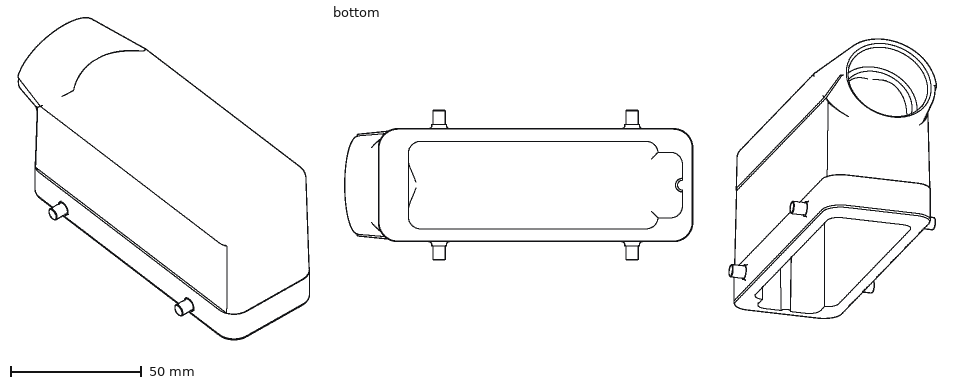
import cadquery as cq
import math

BASE_LENGTH = 120.2
BASE_WIDTH = 43.2
BASE_HEIGHT = 13.2
CORNER_RADIUS = 7.5
FOOT_CHAMFER_HEIGHT = 0.8
FOOT_CHAMFER_DEPTH = 0.3

END_LEDGE = 0.3
BODY_TOP = 62.5
BODY_DRAFT = 0.9
TOP_FILLET = 3.2

STEP_HEIGHT = 46.3
PANEL_DEPTH = 0.9

SPOUT_TILT = 15.0
SPOUT_TIP_X = -68.3
SPOUT_TIP_Z = 50.4
SPOUT_UPPER_RADIUS = 19.4
SPOUT_LOWER_RADIUS = 18.8
SPOUT_ROOT_DEPTH = 16.0
SPOUT_SIDE_ANGLE = 31.8
SPOUT_CROWN_ANGLE = 55.0
MITER_ANGLE = 46.5
SPOUT_UNDER_FILLET = 5.0
BLEND_REACH = 6.7
BLEND_BURY = 2.7
RIM_FILLET = 0.7

ENTRY_DIAMETER = 32.0
ENTRY_DEPTH = 14.4
BORE_DIAMETER = 28.0
BORE_LENGTH = 32.0
ENTRY_CHAMFER = 1.0

WALL = 4.0
ROOF = 3.7
CAVITY_START_X = -48.6
CAVITY_CORNER_RADIUS = 4.5
CAVITY_ROOF_FILLET = 2.9
PILLAR_LENGTH = 9.3
END_POCKET_HALF_WIDTH = 12.5
RIB_RADIUS_TOP = 2.7
RIB_RADIUS_BOTTOM = 1.9

PIN_SPACING = 73.7
PIN_HEIGHT = 6.4
PIN_DIAMETER = 4.8
PIN_TIP_CHAMFER = 0.3
PIN_SPAN = 57.2
COLLAR_DIAMETER = 5.7
COLLAR_FLARE = 1.0
COLLAR_LENGTH = 1.6

TILT = math.radians(SPOUT_TILT)
MITER = math.radians(MITER_ANGLE)
BODY_LENGTH = BASE_LENGTH - 2 * END_LEDGE
BODY_WIDTH = BASE_WIDTH

tip_plane = cq.Plane(
    origin=(SPOUT_TIP_X, 0, SPOUT_TIP_Z),
    xDir=(0, -1, 0),
    normal=(-math.cos(TILT), 0, math.sin(TILT)),
)
step_run = (SPOUT_TIP_Z - STEP_HEIGHT) / math.tan(TILT)
miter_plane = cq.Plane(
    origin=(SPOUT_TIP_X + step_run, 0, STEP_HEIGHT),
    xDir=(0, -1, 0),
    normal=(-math.sin(MITER), 0, math.cos(MITER)),
)


def body_half_width(height):
    """Half width of the drafted body at a given height."""
    rise = (height - BASE_HEIGHT) / (BODY_TOP - BASE_HEIGHT)
    return BODY_WIDTH / 2 - BODY_DRAFT * rise


def rounded_block(length, width, height, radius):
    block = cq.Workplane("XY").rect(length, width).extrude(height)
    return block.edges("|Z").fillet(radius)


def make_base():
    base = rounded_block(BASE_LENGTH, BASE_WIDTH, BASE_HEIGHT, CORNER_RADIUS)
    return base.faces("<Z").edges().chamfer(FOOT_CHAMFER_HEIGHT, FOOT_CHAMFER_DEPTH)


def make_body():
    rise = BODY_TOP - BASE_HEIGHT
    draft_angle = math.degrees(math.atan(BODY_DRAFT / rise))
    body = (
        cq.Workplane("XY", origin=(0, 0, BASE_HEIGHT))
        .rect(BODY_LENGTH, BODY_WIDTH)
        .extrude(rise, taper=draft_angle)
    )
    body = body.edges("not #Z").fillet(CORNER_RADIUS)
    body = body.faces(">Z").edges().fillet(TOP_FILLET)

    for side in (-1, 1):
        panel = (
            cq.Workplane("YZ", origin=(-BASE_LENGTH / 2, 0, 0))
            .moveTo(side * (body_half_width(BASE_HEIGHT) - PANEL_DEPTH), BASE_HEIGHT)
            .lineTo(side * (body_half_width(STEP_HEIGHT) - PANEL_DEPTH), STEP_HEIGHT)
            .lineTo(side * BASE_WIDTH, STEP_HEIGHT)
            .lineTo(side * BASE_WIDTH, BASE_HEIGHT)
            .close()
            .extrude(BASE_LENGTH)
        )
        body = body.cut(panel)

    corner_cut = cq.Workplane(miter_plane).rect(2 * BASE_WIDTH, 2 * BASE_LENGTH).extrude(BASE_LENGTH)
    return body.cut(corner_cut)


def circle_point(radius, degrees):
    angle = math.radians(degrees)
    return radius * math.cos(angle), radius * math.sin(angle)


def mirrored(point):
    return -point[0], point[1]


def round_rim(spout):
    """Round the outer edge of the spout's end face."""
    end_face = spout.faces(cq.selectors.DirectionMinMaxSelector(tip_plane.zDir, True))
    return end_face.edges("%CIRCLE").fillet(RIM_FILLET)


def make_upper_spout():
    """Blend from the upper half of the round rim to the body section on the miter plane."""
    radius = SPOUT_UPPER_RADIUS
    side, crown = SPOUT_SIDE_ANGLE, SPOUT_CROWN_ANGLE
    rim_side = circle_point(radius, side)
    rim_crown = circle_point(radius, crown)
    lower_mid = circle_point(radius, side / 2)
    upper_mid = circle_point(radius, (side + crown) / 2)
    rim = (
        cq.Workplane(tip_plane)
        .moveTo(-radius, 0)
        .lineTo(radius, 0)
        .threePointArc(lower_mid, rim_side)
        .threePointArc(upper_mid, rim_crown)
        .threePointArc((0, radius), mirrored(rim_crown))
        .threePointArc(mirrored(upper_mid), mirrored(rim_side))
        .threePointArc(mirrored(lower_mid), (-radius, 0))
        .wire()
    )

    def section_point(half_width, height):
        return half_width, (height - STEP_HEIGHT) / math.sin(MITER)

    shoulder = BODY_TOP - TOP_FILLET
    step_side = section_point(body_half_width(STEP_HEIGHT), STEP_HEIGHT)
    shoulder_side = section_point(body_half_width(shoulder), shoulder)
    roof_side = section_point(body_half_width(BODY_TOP) - TOP_FILLET, BODY_TOP)
    arc_share = TOP_FILLET * math.sqrt(0.5)
    arc_mid = section_point(body_half_width(BODY_TOP) - TOP_FILLET + arc_share, shoulder + arc_share)
    section = (
        cq.Workplane(miter_plane)
        .moveTo(*mirrored(step_side))
        .lineTo(*step_side)
        .lineTo(*shoulder_side)
        .threePointArc(arc_mid, roof_side)
        .lineTo(*mirrored(roof_side))
        .threePointArc(mirrored(arc_mid), mirrored(shoulder_side))
        .close()
        .wire()
    )
    return round_rim(cq.Workplane(cq.Solid.makeLoft([rim.val(), section.val()], True)))


def make_crown_blend():
    """Lens-shaped, gently arched facet easing the bend between the spout crown and the flat roof."""
    half_width = body_half_width(BODY_TOP) - TOP_FILLET
    bend_x = miter_plane.origin.x + (BODY_TOP - STEP_HEIGHT) / math.tan(MITER)
    slope = TILT / 2
    lens = (
        cq.Workplane("XY", origin=(bend_x, 0, BODY_TOP - BLEND_BURY))
        .moveTo(0, half_width)
        .threePointArc((BLEND_REACH, 0), (0, -half_width))
        .threePointArc((-BLEND_REACH, 0), (0, half_width))
        .close()
        .extrude(2 * BLEND_BURY)
    )

    arch_drop = BLEND_REACH * math.sin(slope)
    arch_radius = (half_width**2 + arch_drop**2) / (2 * arch_drop)
    arch_plane = cq.Plane(
        origin=(bend_x + BLEND_REACH, 0, BODY_TOP),
        xDir=(0, -1, 0),
        normal=(-math.cos(slope), 0, math.sin(slope)),
    )
    arch = (
        cq.Workplane(arch_plane)
        .center(0, -arch_radius)
        .circle(arch_radius)
        .extrude(2 * BLEND_REACH, both=True)
    )
    return lens.intersect(arch)


def make_lower_spout():
    """Half-round underside, widening from the rim to the panel width inside the body."""
    radius = SPOUT_LOWER_RADIUS
    root_half_width = body_half_width(STEP_HEIGHT) - PANEL_DEPTH
    rim = (
        cq.Workplane(tip_plane)
        .moveTo(radius, 0)
        .threePointArc((0, -radius), (-radius, 0))
        .close()
        .wire()
    )
    root = (
        cq.Workplane(tip_plane)
        .workplane(offset=-SPOUT_ROOT_DEPTH)
        .moveTo(root_half_width, 0)
        .threePointArc((0, -radius), (-root_half_width, 0))
        .close()
        .wire()
    )
    return round_rim(cq.Workplane(cq.Solid.makeLoft([rim.val(), root.val()], True)))


def make_cavity():
    half_width = body_half_width(BODY_TOP) - WALL
    height = BODY_TOP - ROOF
    end_x = BASE_LENGTH / 2 - WALL
    length = end_x - CAVITY_START_X
    main_length = length - PILLAR_LENGTH
    main = (
        rounded_block(main_length, 2 * half_width, height, CAVITY_CORNER_RADIUS)
        .translate((CAVITY_START_X + main_length / 2, 0, 0))
    )
    main = main.faces(">Z").edges().fillet(CAVITY_ROOF_FILLET)

    pocket_length = 2 * PILLAR_LENGTH
    pocket = (
        rounded_block(pocket_length, 2 * END_POCKET_HALF_WIDTH, height, CAVITY_CORNER_RADIUS)
        .translate((end_x - pocket_length / 2, 0, 0))
    )
    pocket = pocket.faces(">Z").edges().fillet(CAVITY_ROOF_FILLET)

    rib = cq.Workplane(
        cq.Solid.makeCone(RIB_RADIUS_BOTTOM, RIB_RADIUS_TOP, height, pnt=cq.Vector(end_x, 0, 0))
    )
    return main.union(pocket).cut(rib)


def make_bore():
    bore = cq.Workplane(tip_plane).circle(BORE_DIAMETER / 2).extrude(-BORE_LENGTH)
    entry = cq.Workplane(tip_plane).circle(ENTRY_DIAMETER / 2).extrude(-ENTRY_DEPTH)
    lead_in = cq.Workplane(
        cq.Solid.makeCone(
            ENTRY_DIAMETER / 2 + ENTRY_CHAMFER,
            ENTRY_DIAMETER / 2,
            ENTRY_CHAMFER,
            pnt=tip_plane.origin,
            dir=-tip_plane.zDir,
        )
    )
    return bore.union(entry).union(lead_in)


def make_pin():
    """Pin with a flared collar, revolved about its own axis and pointing along -Y."""
    root = BASE_WIDTH / 2
    tip = PIN_SPAN / 2
    collar = COLLAR_DIAMETER / 2
    radius = PIN_DIAMETER / 2
    embedded_end = -root + WALL / 2
    flare_mid = COLLAR_FLARE * (1 - math.sqrt(0.5))
    return (
        cq.Workplane("XY")
        .moveTo(0, embedded_end)
        .lineTo(collar + COLLAR_FLARE, embedded_end)
        .lineTo(collar + COLLAR_FLARE, -root)
        .threePointArc((collar + flare_mid, -root - flare_mid), (collar, -root - COLLAR_FLARE))
        .lineTo(collar, -root - COLLAR_LENGTH)
        .lineTo(radius, -root - COLLAR_LENGTH)
        .lineTo(radius, -tip + PIN_TIP_CHAMFER)
        .lineTo(radius - PIN_TIP_CHAMFER, -tip)
        .lineTo(0, -tip)
        .close()
        .revolve(360, (0, 0, 0), (0, 1, 0))
    )


hood = make_base().union(make_body()).union(make_lower_spout())

under_spout = (-BASE_LENGTH / 2, 0, SPOUT_TIP_Z - SPOUT_LOWER_RADIUS - step_run * math.sin(TILT))
hood = hood.edges(cq.selectors.NearestToPointSelector(under_spout)).fillet(SPOUT_UNDER_FILLET)

hood = hood.union(make_upper_spout()).union(make_crown_blend())
hood = hood.cut(make_cavity()).cut(make_bore())

for x in (-PIN_SPACING / 2, PIN_SPACING / 2):
    pin = make_pin().translate((x, 0, PIN_HEIGHT))
    hood = hood.union(pin).union(pin.mirror("XZ"))

result = hood